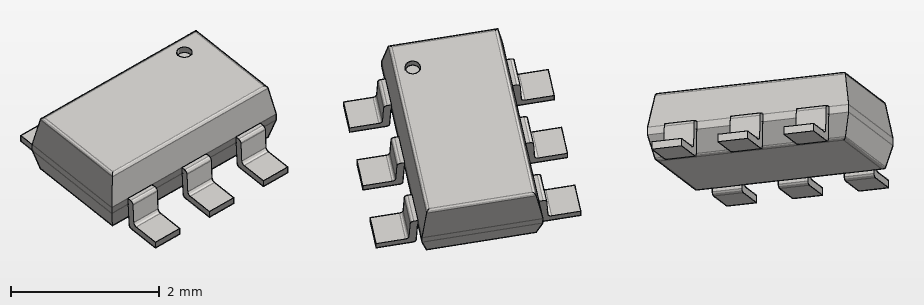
import cadquery as cq
import math

overall_width = 2.8
overall_height = 1.0
standoff = 0.05

housing_width = 1.655
housing_length = 2.9
band_top = 0.505
band_height = 0.107
band_bottom = band_top - band_height
face_inset = 0.085
edge_radius = 0.044

lead_pitch = 0.95
leads_per_side = 3
lead_width = 0.43
lead_thickness = 0.105
bend_radius = 0.05
leg_angle = 3.0
shoulder_reach = 0.105

marker_diameter = 0.205
marker_depth = 0.1
marker_x = -0.495
marker_y = lead_pitch


def drafted_block(start_z, end_z):
    """Block that narrows from the band's outline at start_z to the inset outline at end_z."""
    return (
        cq.Workplane("XY")
        .workplane(offset=start_z)
        .rect(housing_width, housing_length)
        .workplane(offset=end_z - start_z)
        .rect(housing_width - 2 * face_inset, housing_length - 2 * face_inset)
        .loft(ruled=True)
    )


def make_housing():
    """Moulded housing with rounded top and bottom rims and a round pin 1 recess."""
    band = (
        cq.Workplane("XY")
        .workplane(offset=band_bottom)
        .rect(housing_width, housing_length)
        .extrude(band_height)
    )
    upper = drafted_block(band_top, overall_height).faces(">Z").edges().fillet(edge_radius)
    lower = drafted_block(band_bottom, standoff).faces("<Z").edges().fillet(edge_radius)
    marker = (
        cq.Workplane("XY")
        .workplane(offset=overall_height - marker_depth)
        .center(marker_x, marker_y)
        .circle(marker_diameter / 2)
        .extrude(marker_depth)
    )
    return band.union(upper).union(lower).cut(marker)


def make_lead(center_y, turn):
    """Gull-wing lead that butts on the band; turn is its rotation about Z from the -X side."""
    lean = math.tan(math.radians(leg_angle))
    leg_width = lead_thickness / math.cos(math.radians(leg_angle))
    tip_x = -overall_width / 2
    root_x = -housing_width / 2
    shoulder_x = root_x - shoulder_reach

    ankle = (shoulder_x - (band_top - lead_thickness) * lean, lead_thickness)
    heel = (shoulder_x - band_top * lean + leg_width, 0)
    armpit = (shoulder_x - band_height * lean + leg_width, band_bottom)
    shoulder = (shoulder_x, band_top)

    profile = [
        (tip_x, 0),
        heel,
        armpit,
        (root_x, band_bottom),
        (root_x, band_top),
        shoulder,
        ankle,
        (tip_x, lead_thickness),
    ]
    lead = (
        cq.Workplane("XZ")
        .polyline(profile)
        .close()
        .extrude(lead_width / 2, both=True)
    )
    for bend_x, bend_z in (heel, shoulder, ankle):
        bend_edge = cq.selectors.NearestToPointSelector((bend_x, 0, bend_z))
        lead = lead.edges(bend_edge).fillet(bend_radius)
    return lead.rotate((0, 0, 0), (0, 0, 1), turn).translate((0, center_y, 0))


housing = make_housing()

leads = []
for turn in (0, 180):
    for row in range(leads_per_side):
        row_y = (row - (leads_per_side - 1) / 2) * lead_pitch
        leads.append(make_lead(row_y, turn).val())

result = cq.Compound.makeCompound([housing.val(), *leads])